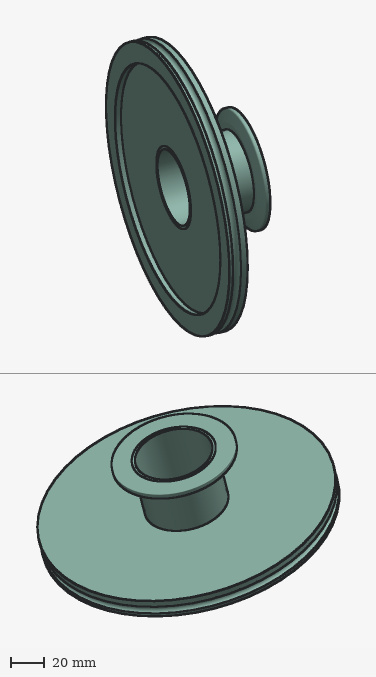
import cadquery as cq
import math

overall_length = 50.0

disc_radius = 90.0
disc_thickness = 12.0
recess_radius = 76.7
recess_depth = 4.0
disc_edge_chamfer = 0.2
groove_radius = 2.5
groove_center = 5.0

tube_radius = 25.4
bore_radius = 23.4

clamp_radius = 37.6
clamp_thickness = 5.4
clamp_taper_angle = 15.0
clamp_nose_radius = 29.5
clamp_front_fillet = 1.0
clamp_back_fillet = 0.4


def turn(profile):
    """Revolve an outline of (radius, Y) points about the Y axis."""
    return profile.close().revolve(360, (0, 0, 0), (0, 1, 0))


def make_disc():
    """Disc with a shallow front recess, chamfered edges and a round groove in its rim."""
    return turn(
        cq.Workplane("XY")
        .moveTo(tube_radius, recess_depth)
        .lineTo(recess_radius, recess_depth)
        .lineTo(recess_radius, disc_edge_chamfer)
        .lineTo(recess_radius + disc_edge_chamfer, 0)
        .lineTo(disc_radius - disc_edge_chamfer, 0)
        .lineTo(disc_radius, disc_edge_chamfer)
        .lineTo(disc_radius, groove_center - groove_radius)
        .threePointArc(
            (disc_radius - groove_radius, groove_center),
            (disc_radius, groove_center + groove_radius),
        )
        .lineTo(disc_radius, disc_thickness - disc_edge_chamfer)
        .lineTo(disc_radius - disc_edge_chamfer, disc_thickness)
        .lineTo(tube_radius, disc_thickness)
    )


def make_tube():
    """Open tube from the recess floor to the back of the clamp flange."""
    return turn(
        cq.Workplane("XY")
        .moveTo(bore_radius, recess_depth)
        .lineTo(tube_radius, recess_depth)
        .lineTo(tube_radius, overall_length)
        .lineTo(bore_radius, overall_length)
    )


def make_clamp_flange():
    """Ring with a tapered front and rounded rim edges."""
    front = overall_length - clamp_thickness
    taper_rise = (clamp_radius - clamp_nose_radius) * math.tan(math.radians(clamp_taper_angle))
    ring = turn(
        cq.Workplane("XY")
        .moveTo(tube_radius, front)
        .lineTo(clamp_nose_radius, front)
        .lineTo(clamp_radius, front + taper_rise)
        .lineTo(clamp_radius, overall_length)
        .lineTo(tube_radius, overall_length)
    )
    rim_edges = cq.selectors.RadiusNthSelector(-1)
    ring = ring.edges(rim_edges).edges("<Y").fillet(clamp_front_fillet)
    return ring.faces(">Y").edges(rim_edges).fillet(clamp_back_fillet)


disc = make_disc()
tube = make_tube()
clamp_flange = make_clamp_flange()

result = cq.Compound.makeCompound([disc.val(), tube.val(), clamp_flange.val()])